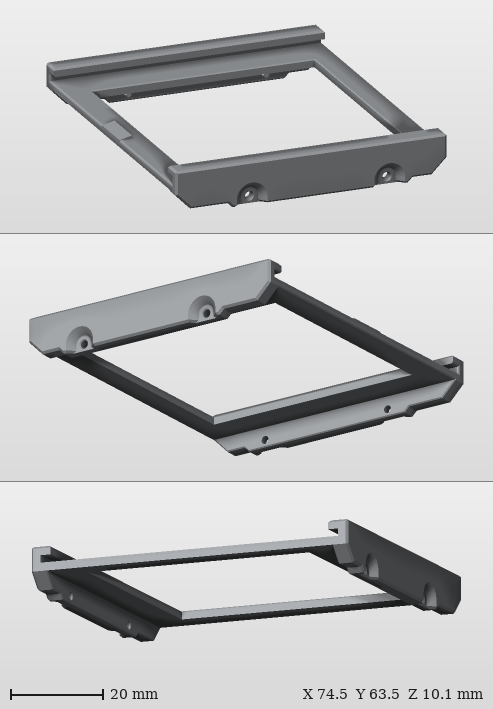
import cadquery as cq
import math

LENGTH_X = 74.5
LENGTH_Y = 63.5
HEIGHT = 10.1
HALF_X = LENGTH_X / 2
HALF_Y = LENGTH_Y / 2

EDGE_CHAMFER = 0.5
FINE_CHAMFER = 0.25
MOUTH_RADIUS = EDGE_CHAMFER

PLATE_BOTTOM = 4.6
PLATE_THICKNESS = 1.85
PLATE_TOP = PLATE_BOTTOM + PLATE_THICKNESS
WINDOW_X = 52.0
WINDOW_Y = 52.0
WINDOW_CENTER_Y = 0.5

TAB_WIDTH = 10.0
TAB_LENGTH = 3.2
TAB_HEIGHT = 0.75
TAB_BACK_SLOPE = 0.3

WALL_THICKNESS = 2.3
LIP_REACH = 4.6
LIP_THICKNESS = 2.0
LEG_THICKNESS = 3.7
LIP_BOTTOM = HEIGHT - LIP_THICKNESS

STEP_HEIGHT = 1.1
FOOT_CENTER_Y = 2.15
FOOT_HALF_LENGTH = 20.5

HOLE_SPACING = 32.2
HOLE_HEIGHT = 1.65
HOLE_DIAMETER = 1.8
RECESS_INNER_RADIUS = 2.0
RECESS_OUTER_RADIUS = 3.6
RECESS_DEPTH = 1.65


def box(x_range, y_range, z_range):
    """Axis-aligned box given by its limits."""
    size = [high - low for low, high in (x_range, y_range, z_range)]
    corner = (x_range[0], y_range[0], z_range[0])
    return cq.Workplane("XY").box(*size, centered=False).translate(corner)


def leg_outline(inset):
    """(Y, Z) outline of a rail side, drawn in evenly by inset."""
    slope_inset = inset * math.sqrt(2)
    end = HALF_Y - inset
    top = HEIGHT - inset
    slope_top = PLATE_BOTTOM - inset + slope_inset
    step = STEP_HEIGHT + inset
    slope_foot = HALF_Y - PLATE_BOTTOM - slope_inset + step
    foot_bottom = FOOT_HALF_LENGTH - slope_inset + inset
    foot_top = foot_bottom + STEP_HEIGHT
    return [
        (-end, top),
        (-end, slope_top),
        (-slope_foot, step),
        (FOOT_CENTER_Y - foot_top, step),
        (FOOT_CENTER_Y - foot_bottom, inset),
        (FOOT_CENTER_Y + foot_bottom, inset),
        (FOOT_CENTER_Y + foot_top, step),
        (slope_foot, step),
        (end, slope_top),
        (end, top),
    ]


def leg_layer(x_start, outline_start, x_end, outline_end):
    """Slab along X that runs from one rail outline to another."""
    return (
        cq.Workplane("YZ", origin=(x_start, 0, 0))
        .polyline(outline_start).close()
        .workplane(offset=x_end - x_start)
        .polyline(outline_end).close()
        .loft(ruled=True)
    )


def make_rail():
    """Left rail: chamfered side slab and lip with the channel between lip and plate."""
    full = leg_outline(0)
    outer_face = leg_outline(EDGE_CHAMFER)
    inner_face = leg_outline(FINE_CHAMFER)
    leg_inner_x = -HALF_X + LEG_THICKNESS
    outer_x = -HALF_X + EDGE_CHAMFER
    inner_x = leg_inner_x - FINE_CHAMFER
    lip_end_x = -HALF_X + LIP_REACH
    whole_y = (-HALF_Y, HALF_Y)

    side = leg_layer(-HALF_X, outer_face, outer_x, full)
    side = side.union(leg_layer(outer_x, full, inner_x, full))
    side = side.union(leg_layer(inner_x, full, leg_inner_x, inner_face))
    lip = box((outer_x, lip_end_x), whole_y, (LIP_BOTTOM, HEIGHT))

    lip_center_x = -HALF_X + LIP_REACH / 2
    shoulder = HEIGHT - EDGE_CHAMFER
    envelope = box((-HALF_X, lip_end_x), whole_y, (0, shoulder)).union(
        cq.Workplane("XY", origin=(lip_center_x, 0, shoulder))
        .rect(LIP_REACH, LENGTH_Y)
        .workplane(offset=EDGE_CHAMFER)
        .rect(LIP_REACH - 2 * EDGE_CHAMFER, LENGTH_Y - 2 * EDGE_CHAMFER)
        .loft(ruled=True)
    )
    channel = box((-HALF_X + WALL_THICKNESS, lip_end_x), whole_y, (PLATE_TOP, LIP_BOTTOM))
    return side.union(lip).intersect(envelope).cut(channel)


def make_plate():
    """Flat frame with a front edge chamfered below, and a chamfered window."""
    half_width = HALF_X - WALL_THICKNESS
    plate = (
        cq.Workplane("YZ", origin=(-half_width, 0, 0))
        .polyline([
            (HALF_Y, PLATE_BOTTOM),
            (HALF_Y, PLATE_TOP),
            (-HALF_Y, PLATE_TOP),
            (-HALF_Y, PLATE_BOTTOM + FINE_CHAMFER),
            (-HALF_Y + FINE_CHAMFER, PLATE_BOTTOM),
        ])
        .close()
        .extrude(2 * half_width)
    )
    window = (
        cq.Workplane("XY", origin=(0, WINDOW_CENTER_Y, PLATE_BOTTOM))
        .rect(WINDOW_X, WINDOW_Y)
        .extrude(PLATE_THICKNESS)
    )
    window_chamfer = (
        cq.Workplane("XY", origin=(0, WINDOW_CENTER_Y, PLATE_TOP - FINE_CHAMFER))
        .rect(WINDOW_X, WINDOW_Y)
        .workplane(offset=FINE_CHAMFER)
        .rect(WINDOW_X + 2 * FINE_CHAMFER, WINDOW_Y + 2 * FINE_CHAMFER)
        .loft(ruled=True)
    )
    return plate.cut(window).cut(window_chamfer)


def make_tab():
    """Wedge that rises from the front edge and drops off steeply at its back."""
    back = -HALF_Y + TAB_LENGTH
    return (
        cq.Workplane("YZ", origin=(-TAB_WIDTH / 2, 0, 0))
        .polyline([
            (-HALF_Y, PLATE_BOTTOM + FINE_CHAMFER),
            (-HALF_Y, PLATE_TOP),
            (back - TAB_BACK_SLOPE, PLATE_TOP + TAB_HEIGHT),
            (back, PLATE_TOP),
            (back, PLATE_BOTTOM + FINE_CHAMFER),
        ])
        .close()
        .extrude(TAB_WIDTH)
    )


def make_recess(center_y):
    """Screw hole in a conical recess that continues as a tapered slot down to the foot edge."""
    center = (-HALF_X, center_y, HOLE_HEIGHT)
    floor_center = (-HALF_X + RECESS_DEPTH, center_y, HOLE_HEIGHT)
    hole_radius = HOLE_DIAMETER / 2
    hole = cq.Workplane("YZ", origin=center).circle(hole_radius).extrude(LEG_THICKNESS)
    hole_chamfer = (
        cq.Workplane("YZ", origin=floor_center)
        .circle(hole_radius + FINE_CHAMFER)
        .workplane(offset=FINE_CHAMFER)
        .circle(hole_radius)
        .loft(ruled=True)
    )
    cone = (
        cq.Workplane("YZ", origin=center)
        .circle(RECESS_OUTER_RADIUS)
        .workplane(offset=RECESS_DEPTH)
        .circle(RECESS_INNER_RADIUS)
        .loft(ruled=True)
    )

    def slot_section(growth):
        """(X, Y) corners of the slot with both flanks moved apart by growth."""
        outer = RECESS_OUTER_RADIUS + growth
        inner = RECESS_INNER_RADIUS + growth
        return [(0, -outer), (RECESS_DEPTH, -inner), (RECESS_DEPTH, inner), (0, outer)]

    slot = (
        cq.Workplane("XY", origin=(-HALF_X, center_y, 0))
        .polyline(slot_section(0)).close()
        .extrude(HOLE_HEIGHT)
    )
    flank_length = math.hypot(RECESS_DEPTH, RECESS_OUTER_RADIUS - RECESS_INNER_RADIUS)
    flank_chamfer = (
        cq.Workplane("XY", origin=(-HALF_X, center_y, 0))
        .polyline(slot_section(EDGE_CHAMFER * flank_length / RECESS_DEPTH)).close()
        .workplane(offset=EDGE_CHAMFER)
        .polyline(slot_section(0)).close()
        .loft(ruled=True)
    )
    return hole.union(hole_chamfer).union(cone).union(slot).union(flank_chamfer)


left_rail = make_rail()
for side in (-1, 1):
    left_rail = left_rail.cut(make_recess(FOOT_CENTER_Y + side * HOLE_SPACING / 2))

frame = make_plate().union(left_rail).union(left_rail.mirror("YZ"))

SELECT_MARGIN = 0.1
mouth_half_width = HALF_X - WALL_THICKNESS
mouth_edges = cq.selectors.BoxSelector(
    (-mouth_half_width - SELECT_MARGIN, -HALF_Y - SELECT_MARGIN, PLATE_TOP - SELECT_MARGIN),
    (mouth_half_width + SELECT_MARGIN, -HALF_Y + SELECT_MARGIN, LIP_BOTTOM + SELECT_MARGIN),
    boundingbox=True,
)
frame = frame.edges(mouth_edges).fillet(MOUTH_RADIUS)

result = frame.union(make_tab())